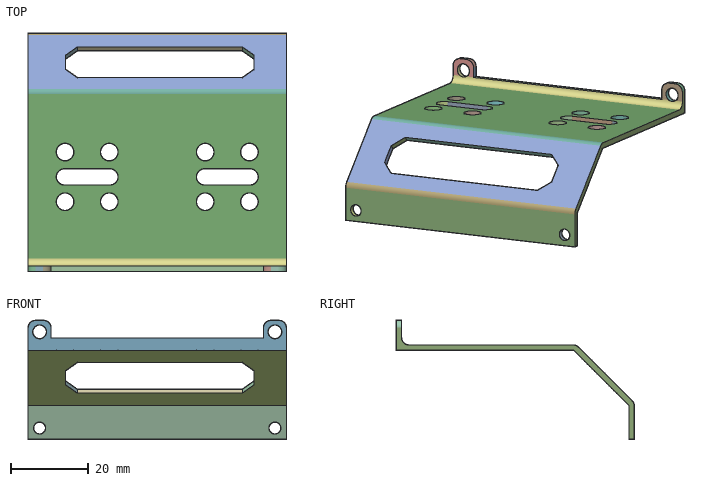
import cadquery as cq
import math

width = 67.0
depth = 61.8
height = 30.9
thickness = 1.5

plate_bottom = 23.05
plate_top = plate_bottom + thickness
slope_run = 14.2
inner_fillet = 1.8
front_wall_top = plate_top + inner_fillet
bend_radius = 2.0

tab_width = 6.0
tab_corner_radius = 2.0
mount_hole_inset = 3.0
tab_hole_diameter = 3.5
tab_hole_height = height - mount_hole_inset
flange_hole_diameter = 3.0
flange_hole_height = 2.95

group_offset = 18.15
group_y = 24.5
hole_pitch_x = 11.45
hole_pitch_y = 12.85
plate_hole_diameter = 4.5
slot_width = 4.15
slot_length = hole_pitch_x + plate_hole_diameter

window_length = 48.8
window_width = 11.2
window_corner_chamfer = 3.0
window_offset_x = 0.7

cut_length = 4 * thickness


def folded_sheet():
    """Front wall, level plate, 45 degree slope and rear flange as one extruded profile."""
    rear_inner = depth - thickness
    slope_start = rear_inner - slope_run
    bend_shift = thickness * math.tan(math.radians(45 / 2))
    upper_bend = (slope_start + bend_shift, plate_top)
    lower_bend = (depth, plate_bottom - slope_run + bend_shift)
    sheet = (
        cq.Workplane("YZ")
        .moveTo(0, plate_bottom)
        .lineTo(slope_start, plate_bottom)
        .lineTo(rear_inner, plate_bottom - slope_run)
        .lineTo(rear_inner, 0)
        .lineTo(depth, 0)
        .lineTo(*lower_bend)
        .lineTo(*upper_bend)
        .lineTo(thickness, plate_top)
        .lineTo(thickness, height)
        .lineTo(0, height)
        .close()
        .extrude(width / 2, both=True)
    )
    corner_radii = [
        (upper_bend, bend_radius),
        (lower_bend, bend_radius),
        ((thickness, plate_top), inner_fillet),
    ]
    for (y, z), radius in corner_radii:
        sheet = sheet.edges(cq.selectors.NearestToPointSelector((0, y, z))).fillet(radius)
    return sheet


def trim_tabs(sheet):
    """Lower the front wall between the two tabs and round the top of each tab."""
    notch_height = height - front_wall_top
    notch = cq.Workplane("XY").box(
        width - 2 * tab_width, 2 * thickness, notch_height, centered=(True, True, False)
    ).translate((0, 0, front_wall_top))
    return sheet.cut(notch).faces(">Z").edges("|Y").fillet(tab_corner_radius)


def mount_holes(wall_y, hole_height, diameter):
    """A pair of holes along Y, one near each side, through an upright wall."""
    hole_x = width / 2 - mount_hole_inset
    return (
        cq.Workplane("XZ", origin=(0, wall_y, hole_height))
        .pushPoints([(-hole_x, 0), (hole_x, 0)])
        .circle(diameter / 2)
        .extrude(cut_length / 2, both=True)
    )


def plate_hole_group(center_x):
    """Four round holes around a slot, through the level plate."""
    plane = cq.Workplane("XY", origin=(center_x, group_y, plate_bottom))
    holes = (
        plane.rarray(hole_pitch_x, hole_pitch_y, 2, 2)
        .circle(plate_hole_diameter / 2)
        .extrude(cut_length / 2, both=True)
    )
    slot = plane.slot2D(slot_length, slot_width).extrude(cut_length / 2, both=True)
    return holes.union(slot)


def slope_window():
    """Rectangular opening with chamfered corners, square to the slope and centred along it."""
    center_y = depth - thickness - slope_run / 2
    center_z = plate_bottom - slope_run / 2
    plane = cq.Plane(origin=(window_offset_x, center_y, center_z), xDir=(1, 0, 0), normal=(0, 1, 1))
    return (
        cq.Workplane(plane)
        .rect(window_length, window_width)
        .extrude(cut_length / 2, both=True)
        .edges(cq.selectors.ParallelDirSelector(plane.zDir))
        .chamfer(window_corner_chamfer)
    )


result = trim_tabs(folded_sheet())
result = result.cut(mount_holes(0, tab_hole_height, tab_hole_diameter))
result = result.cut(mount_holes(depth, flange_hole_height, flange_hole_diameter))
for side in (-1, 1):
    result = result.cut(plate_hole_group(side * group_offset))
result = result.cut(slope_window())